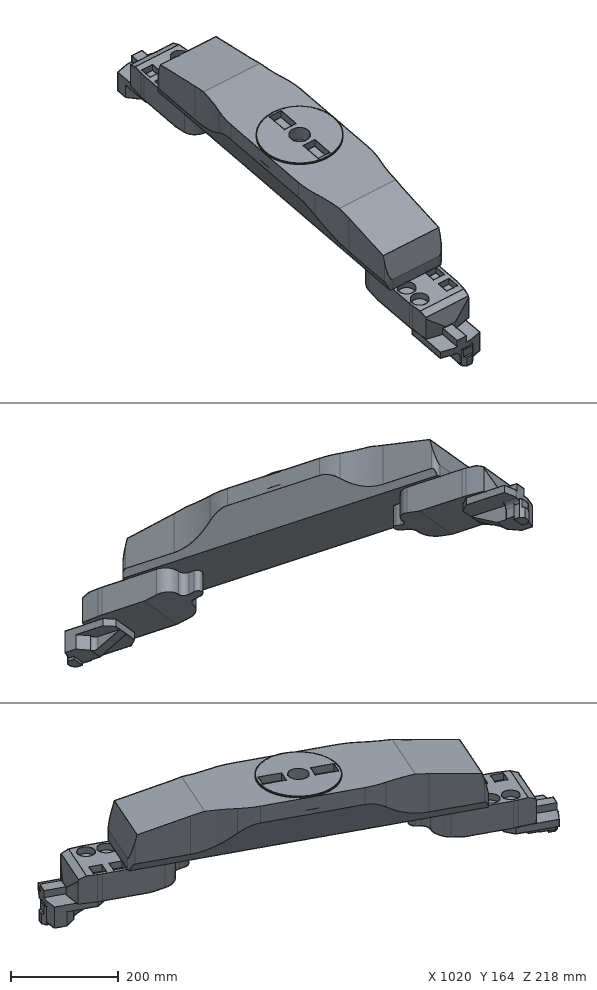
import cadquery as cq
import math


total_height = 218.0
housing_top = 215.0
housing_bottom = 111.0
flare_bottom = 178.0
plate_top = 52.0
plate_bottom = 37.0
rail_top = 67.0

housing_half_length = 355.0
end_half_width = 65.0
middle_width = 164.0
middle_half_width = middle_width / 2
bottom_half_width = 60.0
middle_half_length = 103.0
flare_end = 235.0
flat_top_half_length = 207.0
nose_half_length = 340.0
nose_top = 190.0
nose_bottom = 136.0
corner_radius = 11.0
flare_bend = 146.0

disc_diameter = 162.0
disc_thickness = 31.0
disc_edge = 1.0
bore_diameter = 40.0
slot_inner = 29.0
slot_outer = 74.0
slot_width = 28.0
slot_depth = 16.0

arm_half_width = 54.0
arm_tip = 460.0
arm_tip_half_width = 12.0
arm_shoulder = 451.0
arm_shoulder_half_width = 50.0
taper_start = 409.0
taper_blend_half_length = 4.6
arm_round_start = 282.0
arm_round_radius = 30.0
arm_hollow_radius = 14.0
arm_inner_end = 216.0
arm_inner_bottom = 68.0
arm_slope_start = 309.0
bevel_start = 435.0
bevel_end = 450.0
bevel_bottom = 105.0
tip_slope_bottom = 69.0
hole_diameter = 35.0
opening_depth = 14.0
hole_offset = 32.0
window_size = 25.0
window_offset = 35.0
outer_opening = 407.0
opening_pitch = 40.0
opening_places = (outer_opening - opening_pitch, outer_opening)

coupler_end = 503.0
coupler_corner = 496.0
coupler_width = 93.0
coupler_half_width = coupler_width / 2
end_flat_half_width = 19.0
plate_inner_end = 392.0
plate_corner_length = 18.0
plate_corner_width = 15.0
rail_inner_end = 449.0
rail_side = -17.0
right_rail_width = 21.0
left_rail_width = 24.0
right_plate_offset = -5.0
left_plate_offset = -1.0
jaw_bottom = 6.0
jaw_back = 471.0
jaw_back_inner = 451.0
jaw_back_width = 28.0
web_blend_radius = 10.0
web_far_side = -4.0
jaw_side = -6.0
cove_radius = 10.0
key_root = 490.0
key_end = 510.0
key_top = 40.0
key_width = 28.0
key_offset = 6.0
key_tip_width = 12.0
key_step_end = 506.0
key_step = 22.0


def extruded_plan(points, bottom, top):
    return cq.Workplane("XY").workplane(offset=bottom).polyline(points).close().extrude(top - bottom)


def extruded_side(points, half_width):
    return cq.Workplane("XZ").polyline(points).close().extrude(half_width, both=True)


def mirrored(points):
    """Close an outline by repeating its points in reverse on the other side of the first axis."""
    return points + [(u, -v) for u, v in reversed(points)]


def box_between(x_range, y_range, z_range):
    size = [high - low for low, high in (x_range, y_range, z_range)]
    return cq.Workplane("XY").box(*size, centered=False).translate((x_range[0], y_range[0], z_range[0]))


def turntable_blank():
    return (
        cq.Workplane("XY")
        .workplane(offset=total_height - disc_thickness)
        .circle(disc_diameter / 2)
        .extrude(disc_thickness)
    )


def housing_plan():
    """Wide middle that runs into the slim ends along two tangent arcs at each corner."""
    flare_slope = (middle_half_width - end_half_width) / (flare_end - middle_half_length)
    bend_width = end_half_width + flare_slope * (flare_end - flare_bend)
    shoulder = housing_half_length - corner_radius
    end_width = end_half_width - corner_radius
    return (
        cq.Workplane("XY")
        .workplane(offset=housing_bottom)
        .moveTo(-middle_half_length, middle_half_width)
        .lineTo(middle_half_length, middle_half_width)
        .tangentArcPoint((flare_bend, bend_width), relative=False)
        .tangentArcPoint((flare_end, end_half_width), relative=False)
        .lineTo(shoulder, end_half_width)
        .tangentArcPoint((housing_half_length, end_width), relative=False)
        .lineTo(housing_half_length, -end_width)
        .tangentArcPoint((shoulder, -end_half_width), relative=False)
        .lineTo(flare_end, -end_half_width)
        .tangentArcPoint((flare_bend, -bend_width), relative=False)
        .tangentArcPoint((middle_half_length, -middle_half_width), relative=False)
        .lineTo(-middle_half_length, -middle_half_width)
        .tangentArcPoint((-flare_bend, -bend_width), relative=False)
        .tangentArcPoint((-flare_end, -end_half_width), relative=False)
        .lineTo(-shoulder, -end_half_width)
        .tangentArcPoint((-housing_half_length, -end_width), relative=False)
        .lineTo(-housing_half_length, end_width)
        .tangentArcPoint((-shoulder, end_half_width), relative=False)
        .lineTo(-flare_end, end_half_width)
        .tangentArcPoint((-flare_bend, bend_width), relative=False)
        .tangentArcPoint((-middle_half_length, middle_half_width), relative=False)
        .close()
    )


def make_housing():
    body = housing_plan().extrude(housing_top - housing_bottom)
    right_side = [
        (housing_half_length, housing_bottom),
        (housing_half_length, nose_bottom),
        (nose_half_length, nose_top),
        (flat_top_half_length, housing_top),
    ]
    left_side = [(-x, z) for x, z in reversed(right_side)]
    body = body.intersect(extruded_side(right_side + left_side, middle_half_width))
    cross_section = [
        (bottom_half_width, housing_bottom),
        (middle_half_width, flare_bottom),
        (middle_half_width, housing_top),
        (-middle_half_width, housing_top),
        (-middle_half_width, flare_bottom),
        (-bottom_half_width, housing_bottom),
    ]
    envelope = cq.Workplane("YZ").polyline(cross_section).close().extrude(housing_half_length, both=True)
    return body.intersect(envelope).cut(turntable_blank())


def make_disc():
    disc = turntable_blank().faces(">Z").edges().chamfer(disc_edge)
    disc = disc.faces(">Z").workplane().hole(bore_diameter)
    slot_centre = (slot_inner + slot_outer) / 2
    slots = (
        cq.Workplane("XY")
        .pushPoints([(-slot_centre, 0), (slot_centre, 0)])
        .rect(slot_outer - slot_inner, slot_width)
        .extrude(slot_depth)
        .translate((0, 0, total_height - slot_depth))
    )
    return disc.cut(slots)


def arm_plan():
    """Slightly tapered outer end with a blunt V; the inner end necks down to a round nose."""
    neck = arm_half_width - arm_round_radius - arm_hollow_radius
    round_end = arm_round_start - arm_round_radius
    hollow_end = round_end - arm_hollow_radius
    round_side = arm_half_width - arm_round_radius
    taper_angle = math.atan2(arm_half_width - arm_shoulder_half_width, arm_shoulder - taper_start)
    blend_start = taper_start - taper_blend_half_length
    blend_end = taper_start + taper_blend_half_length * math.cos(taper_angle)
    blend_end_side = arm_half_width - taper_blend_half_length * math.sin(taper_angle)
    return (
        cq.Workplane("XY")
        .workplane(offset=plate_top)
        .moveTo(blend_start, arm_half_width)
        .lineTo(arm_round_start, arm_half_width)
        .tangentArcPoint((round_end, round_side), relative=False)
        .tangentArcPoint((hollow_end, neck), relative=False)
        .lineTo(arm_inner_end + neck, neck)
        .threePointArc((arm_inner_end, 0), (arm_inner_end + neck, -neck))
        .lineTo(hollow_end, -neck)
        .tangentArcPoint((round_end, -round_side), relative=False)
        .tangentArcPoint((arm_round_start, -arm_half_width), relative=False)
        .lineTo(blend_start, -arm_half_width)
        .tangentArcPoint((blend_end, -blend_end_side), relative=False)
        .lineTo(arm_shoulder, -arm_shoulder_half_width)
        .lineTo(arm_tip, -arm_tip_half_width)
        .lineTo(arm_tip, arm_tip_half_width)
        .lineTo(arm_shoulder, arm_shoulder_half_width)
        .lineTo(blend_end, blend_end_side)
        .tangentArcPoint((blend_start, arm_half_width), relative=False)
        .close()
    )


def make_arm():
    body = arm_plan().extrude(housing_bottom - plate_top)
    side = [
        (arm_inner_end, housing_bottom),
        (bevel_start, housing_bottom),
        (bevel_end, bevel_bottom),
        (arm_tip, tip_slope_bottom),
        (arm_tip, plate_top),
        (arm_slope_start, plate_top),
        (arm_inner_end, arm_inner_bottom),
    ]
    body = body.intersect(extruded_side(side, arm_half_width))
    holes = (
        cq.Workplane("XY")
        .workplane(offset=housing_bottom)
        .pushPoints([(x, -hole_offset) for x in opening_places])
        .circle(hole_diameter / 2)
        .extrude(-opening_depth)
    )
    windows = (
        cq.Workplane("XY")
        .workplane(offset=housing_bottom)
        .pushPoints([(x, window_offset) for x in opening_places])
        .rect(window_size, window_size)
        .extrude(-opening_depth)
    )
    return body.cut(holes).cut(windows)


def make_key():
    """Stepped key whose lower part reaches further out and narrows to a blunt tip."""
    side = [
        (key_root, key_top),
        (key_step_end, key_top),
        (key_step_end, key_step),
        (key_end, key_step),
        (key_end, 0),
        (key_root, 0),
    ]
    half_width = key_width / 2
    plan = mirrored([(key_root, half_width), (coupler_end, half_width), (key_end, key_tip_width / 2)])
    key = extruded_side(side, half_width).intersect(extruded_plan(plan, 0, key_top))
    return key.translate((0, key_offset, 0))


def make_jaw():
    """Deep block on one side of the plate, thinning to a sloping web behind it."""
    plan = (
        cq.Workplane("XY")
        .moveTo(plate_inner_end, web_far_side)
        .lineTo(jaw_back, web_far_side)
        .lineTo(jaw_back, jaw_side)
        .lineTo(coupler_end, jaw_side)
        .lineTo(coupler_end, coupler_half_width)
        .lineTo(jaw_back, coupler_half_width)
        .lineTo(jaw_back_inner, jaw_back_width)
        .radiusArc((jaw_back_inner - web_blend_radius, jaw_back_width - web_blend_radius), web_blend_radius)
        .lineTo(plate_inner_end, jaw_back_width - web_blend_radius)
        .close()
        .extrude(plate_bottom)
    )
    side = [
        (plate_inner_end, plate_bottom),
        (coupler_end, plate_bottom),
        (coupler_end, jaw_bottom),
        (jaw_back_inner, jaw_bottom),
    ]
    return plan.intersect(extruded_side(side, coupler_half_width))


def make_cove():
    """Hollow rounding between the plate and the open side of the jaw."""
    return (
        cq.Workplane("YZ")
        .workplane(offset=jaw_back)
        .moveTo(jaw_side, plate_bottom)
        .lineTo(jaw_side - cove_radius, plate_bottom)
        .radiusArc((jaw_side, plate_bottom - cove_radius), cove_radius)
        .close()
        .extrude(coupler_end - jaw_back)
    )


def make_coupler(plate_offset, rail_width):
    outline = mirrored([
        (plate_inner_end, coupler_half_width - plate_corner_width),
        (plate_inner_end + plate_corner_length, coupler_half_width),
        (coupler_corner, coupler_half_width),
        (coupler_end, end_flat_half_width),
    ])
    plate = extruded_plan(outline, plate_bottom, plate_top)
    jaw = make_jaw().union(make_cove()).intersect(extruded_plan(outline, 0, plate_bottom))
    rail = box_between(
        (rail_inner_end, coupler_end),
        (rail_side, rail_side + rail_width),
        (plate_top, rail_top),
    )
    body = plate.union(jaw).translate((0, plate_offset, 0))
    return body.union(rail).cut(make_arm()).cut(make_key())


housing = make_housing()
disc = make_disc()

half_turn = 180
ends = [
    (0, right_plate_offset, right_rail_width),
    (half_turn, left_plate_offset, left_rail_width),
]
end_bodies = []
for turn, plate_offset, rail_width in ends:
    for body in (make_arm(), make_coupler(plate_offset, rail_width), make_key()):
        end_bodies.append(body.rotate((0, 0, 0), (0, 0, 1), turn).solids().val())

result = cq.Compound.makeCompound([housing.solids().val(), disc.solids().val(), *end_bodies])